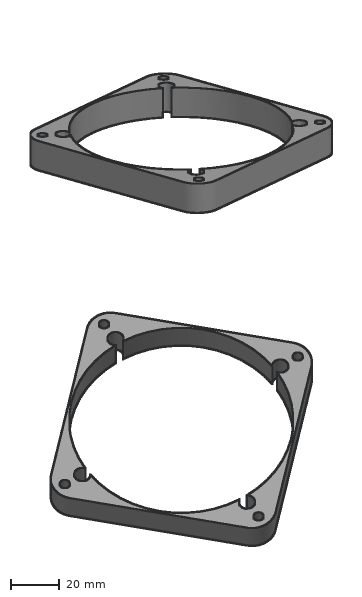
import cadquery as cq

side = 95.0
thickness = 13.1
corner_radius = 10.0
bore_diameter = 93.0

screw_hole_diameter = 4.2
screw_hole_spacing = 82.0
relief_hole_diameter = 6.65
relief_hole_spacing = 69.7


def corner_holes(spacing, diameter):
    """Four through-hole cutters at the corners of a centred square."""
    return (
        cq.Workplane("XY")
        .rect(spacing, spacing, forConstruction=True)
        .vertices()
        .circle(diameter / 2)
        .extrude(thickness)
    )


frame = cq.Workplane("XY").rect(side, side).extrude(thickness)
frame = frame.edges("|Z").fillet(corner_radius)

bore = cq.Workplane("XY").circle(bore_diameter / 2).extrude(thickness)

result = (
    frame.cut(bore)
    .cut(corner_holes(screw_hole_spacing, screw_hole_diameter))
    .cut(corner_holes(relief_hole_spacing, relief_hole_diameter))
)